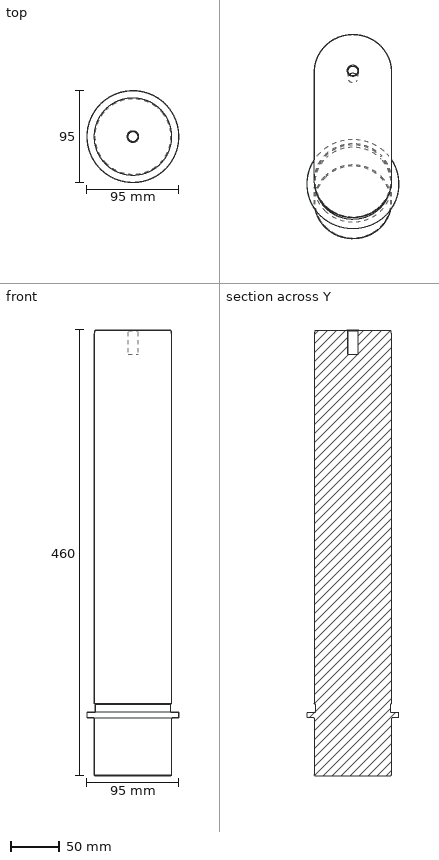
import cadquery as cq
import math

total_height = 460.0
body_diameter = 80.0
flange_diameter = 95.0

flange_bottom = 60.0
flange_thickness = 6.0
flange_rim_radius = 1.0
flange_root_radius = 1.0
neck_diameter = 78.0
neck_height = 9.0

bottom_chamfer = 1.0
lead_in_height = 4.0
lead_in_angle = 10.0
top_edge_radius = 1.0

hole_diameter = 10.2
hole_depth = 25.0
hole_chamfer = 0.9

body_radius = body_diameter / 2
flange_radius = flange_diameter / 2
neck_radius = neck_diameter / 2
flange_top = flange_bottom + flange_thickness
neck_top = flange_top + neck_height
lead_in_depth = lead_in_height * math.tan(math.radians(lead_in_angle))
neck_step = body_radius - neck_radius
hole_radius = hole_diameter / 2

axis_start = (0, 0, 0)
axis_end = (0, 1, 0)


def make_column():
    """Revolve the half section, as (radius, height), of the pin, neck and body about the Z axis.

    The pin below the flange flares into it with a concave root. The neck ends
    upward in a 45 degree shoulder that meets the body. The body tapers to a
    rounded edge at the top.
    """
    half_section = (
        cq.Workplane("XZ")
        .lineTo(body_radius - bottom_chamfer, 0)
        .lineTo(body_radius, bottom_chamfer)
        .lineTo(body_radius, flange_bottom - flange_root_radius)
        .tangentArcPoint((body_radius + flange_root_radius, flange_bottom), relative=False)
        .lineTo(neck_radius, flange_bottom)
        .lineTo(neck_radius, neck_top - neck_step)
        .lineTo(body_radius, neck_top)
        .lineTo(body_radius, total_height - lead_in_height)
        .lineTo(body_radius - lead_in_depth, total_height)
        .lineTo(0, total_height)
        .close()
    )
    column = half_section.revolve(360, axis_start, axis_end)
    return column.faces(">Z").edges().fillet(top_edge_radius)


def make_flange():
    """Flat disc with both rim edges rounded."""
    disc = cq.Workplane("XY").workplane(offset=flange_bottom).circle(flange_radius).extrude(flange_thickness)
    return disc.edges("%CIRCLE").fillet(flange_rim_radius)


def make_hole():
    """Flat-bottomed hole on the column axis with a chamfered mouth."""
    hole_floor = total_height - hole_depth
    half_section = [
        (0, hole_floor),
        (hole_radius, hole_floor),
        (hole_radius, total_height - hole_chamfer),
        (hole_radius + hole_chamfer, total_height),
        (0, total_height),
    ]
    return cq.Workplane("XZ").polyline(half_section).close().revolve(360, axis_start, axis_end)


result = make_column().union(make_flange()).cut(make_hole())